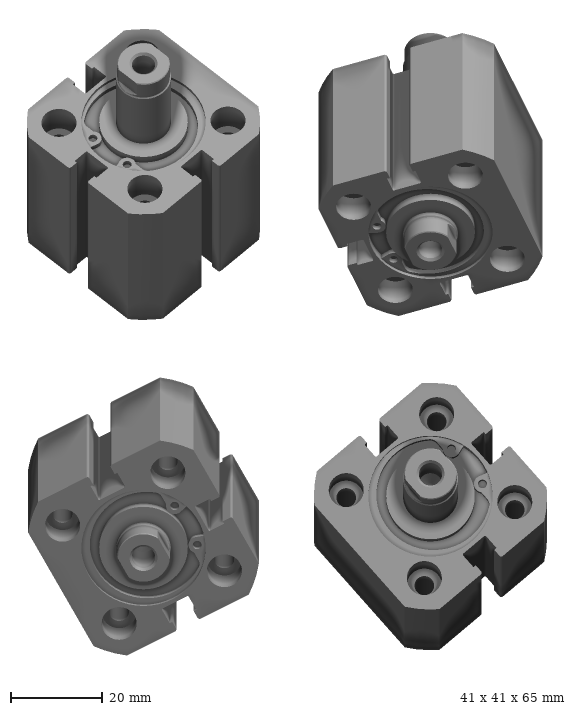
import cadquery as cq
import math


body_width = 41.0
body_height = 38.0
corner_radius = 25.5
bore_radius = 13.6

hole_offset = 13.05
hole_radius = 2.15
counterbore_radius = 3.85
counterbore_depth = 7.0

slot_mouth_width = 5.3
slot_inner_width = 6.6
slot_lip = 2.3
slot_depth = 6.05
slot_mouth_fillet = 0.5
slot_floor_fillet = 0.3
slot_directions = (180, 270, 0)

ring_outer_radius = 14.35
ring_thickness = 1.25
ring_recess = 0.8
ring_opening_radius = 12.5
ring_opening_shift = 0.85
ring_shoulder_y = -9.1
ring_shoulder_fillet = 1.95
lug_x = 5.2
lug_y = -10.5
lug_radius = 1.9
lug_hole_radius = 1.0

boss_radius = 9.7
boss_height = ring_recess + ring_thickness
cover_length = 10.0

rod_diameter = 12.0
rod_radius = rod_diameter / 2
rod_length = 65.0
rod_below = 6.0
tip_diameter = 11.5
tip_radius = tip_diameter / 2
tip_length = 5.0
tip_chamfer = 0.2
flat_half_width = 5.0
flat_length = 4.0
flat_runout_angle = 40.0
socket_radius = 2.55
socket_depth = 10.0
socket_mouth_radius = 3.05
drill_point_angle = 118.0


def cylinder(radius, bottom, height):
    return cq.Workplane("XY").workplane(offset=bottom).circle(radius).extrude(height)


def mirrored_end(shape):
    """The same shape at the lower end of the housing."""
    return shape.mirror("XY", (0, 0, body_height / 2))


def slot_cutter(direction):
    """T-slot with a rounded mouth, open toward the given direction."""
    face_x = body_width / 2
    floor_x = face_x - slot_depth
    lip_x = face_x - slot_lip
    mouth = slot_mouth_width / 2
    flare = mouth + slot_mouth_fillet
    flare_x = face_x - slot_mouth_fillet
    arc_inset = slot_mouth_fillet * (1 - math.sqrt(0.5))
    groove = (
        cq.Workplane("XY")
        .center((floor_x + lip_x) / 2, 0)
        .rect(lip_x - floor_x, slot_inner_width)
        .extrude(body_height)
        .edges("|Z and <X")
        .fillet(slot_floor_fillet)
    )
    opening = (
        cq.Workplane("XY")
        .moveTo(lip_x, -mouth)
        .lineTo(flare_x, -mouth)
        .threePointArc((face_x - arc_inset, -mouth - arc_inset), (face_x, -flare))
        .lineTo(face_x, flare)
        .threePointArc((face_x - arc_inset, mouth + arc_inset), (flare_x, mouth))
        .lineTo(lip_x, mouth)
        .close()
        .extrude(body_height)
    )
    return groove.union(opening).rotate((0, 0, 0), (0, 0, 1), direction)


def mounting_hole_cutter(x, y):
    """Through hole with a counterbore at both ends."""
    counterbore = cylinder(counterbore_radius, body_height - counterbore_depth, counterbore_depth)
    cutter = cylinder(hole_radius, 0, body_height).union(counterbore).union(mirrored_end(counterbore))
    return cutter.translate((x, y, 0))


def make_housing(rings):
    """Bored body with its slots and holes, and a seat in the bore that matches each ring."""
    body = cq.Workplane("XY").rect(body_width, body_width).extrude(body_height)
    body = body.intersect(cylinder(corner_radius, 0, body_height))
    body = body.cut(cylinder(bore_radius, 0, body_height))
    for ring in rings:
        body = body.cut(ring)
    for direction in slot_directions:
        body = body.cut(slot_cutter(direction))
    for x in (-hole_offset, hole_offset):
        for y in (-hole_offset, hole_offset):
            body = body.cut(mounting_hole_cutter(x, y))
    return body


def make_ring():
    """Upper retaining ring: an eccentric opening, a gap toward -Y and a drilled lug at each side of it."""
    bottom = body_height - ring_recess - ring_thickness
    plane = cq.Workplane("XY").workplane(offset=bottom)

    opening_top = ring_opening_radius - ring_opening_shift
    half_chord = math.sqrt(ring_opening_radius**2 - (ring_shoulder_y + ring_opening_shift) ** 2)
    opening = (
        plane.moveTo(-half_chord, ring_shoulder_y)
        .threePointArc((0, opening_top), (half_chord, ring_shoulder_y))
        .close()
        .extrude(ring_thickness)
        .edges("|Z")
        .fillet(ring_shoulder_fillet)
    )

    lug_distance = math.hypot(lug_x, lug_y)
    gap_angle = math.atan2(lug_x, -lug_y) - math.asin(lug_radius / lug_distance)
    touch_distance = math.sqrt(lug_distance**2 - lug_radius**2)
    touch_x = touch_distance * math.sin(gap_angle)
    touch_y = -touch_distance * math.cos(gap_angle)
    outer_x = ring_outer_radius * math.tan(gap_angle)
    gap_end = [
        (lug_x, ring_shoulder_y),
        (lug_x, lug_y),
        (touch_x, touch_y),
        (outer_x, -ring_outer_radius),
    ]
    opposite_end = [(-x, y) for x, y in reversed(gap_end)]
    gap = plane.polyline(gap_end + opposite_end).close().extrude(ring_thickness)

    lug_centres = [(-lug_x, lug_y), (lug_x, lug_y)]
    lugs = plane.pushPoints(lug_centres).circle(lug_radius).extrude(ring_thickness)
    lug_holes = plane.pushPoints(lug_centres).circle(lug_hole_radius).extrude(ring_thickness)

    disc = cylinder(ring_outer_radius, bottom, ring_thickness)
    return disc.cut(opening).cut(gap).union(lugs).cut(lug_holes)


def make_cover():
    """Upper cover: a plate under the ring with a boss that reaches the housing face."""
    bottom = body_height - cover_length
    plate = cylinder(bore_radius, bottom, cover_length - boss_height)
    boss = cylinder(boss_radius, body_height - boss_height, boss_height)
    return plate.union(boss).cut(cylinder(rod_radius, bottom, cover_length))


def tip_cutters():
    """Wrench flats and threaded socket of the upper rod end, whose end face is at z = 0."""
    runout_width = rod_radius - flat_half_width
    runout_height = runout_width * math.tan(math.radians(flat_runout_angle))
    flat = (
        cq.Workplane("YZ")
        .polyline([
            (flat_half_width, 0),
            (rod_radius, 0),
            (rod_radius, -flat_length - runout_height),
            (flat_half_width, -flat_length),
        ])
        .close()
        .extrude(rod_radius, both=True)
    )
    countersink = socket_mouth_radius - socket_radius
    point_height = socket_radius / math.tan(math.radians(drill_point_angle / 2))
    socket = (
        cq.Workplane("XZ")
        .polyline([
            (0, 0),
            (socket_mouth_radius, 0),
            (socket_radius, -countersink),
            (socket_radius, -socket_depth),
            (0, -socket_depth - point_height),
        ])
        .close()
        .revolve(360, (0, 0), (0, 1))
    )
    return flat.union(flat.mirror("XZ")).union(socket)


def make_rod():
    """Rod with both ends stepped down, flattened and tapped."""
    tip = cylinder(tip_radius, 0, tip_length).faces(">Z").chamfer(tip_chamfer)
    tip = tip.translate((0, 0, rod_length / 2 - tip_length))
    cone_height = rod_radius - tip_radius
    shaft_length = rod_length - 2 * (tip_length - cone_height)
    shaft = cylinder(rod_radius, -shaft_length / 2, shaft_length).edges("%CIRCLE").chamfer(cone_height)
    rod = shaft.union(tip).union(tip.mirror("XY"))
    cutters = tip_cutters().translate((0, 0, rod_length / 2))
    rod = rod.cut(cutters).cut(cutters.mirror("XY"))
    return rod.translate((0, 0, rod_length / 2 - rod_below))


upper_ring = make_ring()
upper_cover = make_cover()
rings = [upper_ring, mirrored_end(upper_ring)]
covers = [upper_cover, mirrored_end(upper_cover)]
housing = make_housing(rings)
rod = make_rod()

result = cq.Compound.makeCompound(
    [housing.val(), rod.val()] + [ring.val() for ring in rings] + [cover.val() for cover in covers]
)